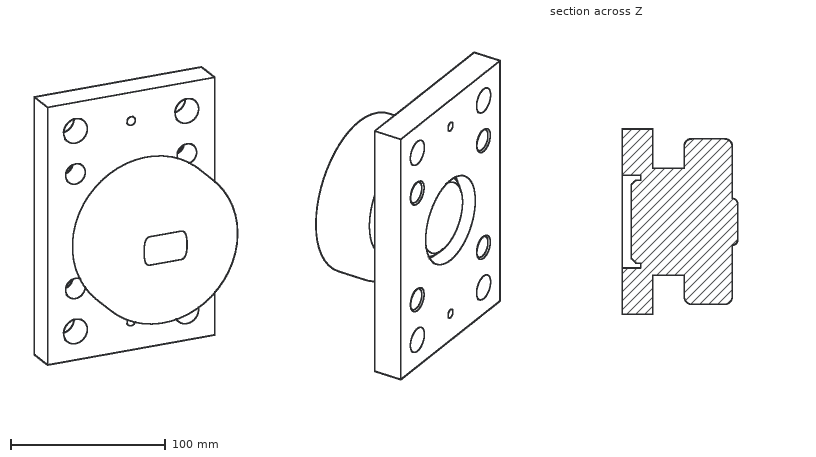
import cadquery as cq

plate_thickness = 20.0
plate_width = 120.0
plate_height = 180.0

hole_offset_y = 40.0
outer_hole_offset_z = 70.0
inner_hole_offset_z = 40.0
clearance_diameter = 17.0
threaded_diameter = 14.0
threaded_rim_diameter = 16.2
pin_hole_diameter = 6.0

recess_diameter = 60.0
recess_depth = 12.0
stub_diameter = 54.0
stub_height = 6.1
stub_chamfer = 3.0

hub_diameter = 69.5
roller_diameter = 107.5
roller_start = 40.1
roller_end = 71.5
roller_fillet = 5.0

overall_depth = 75.0
side_roller_radius = 15.5
side_roller_length = 30.6
side_roller_fillet = 4.0


def disc(start, end, diameter):
    """Cylinder about the X axis between two X positions."""
    return cq.Workplane("YZ", origin=(start, 0, 0)).circle(diameter / 2).extrude(end - start)


def through_holes(points, diameter):
    """Cutters passing through the plate at the given (Y, Z) points."""
    return cq.Workplane("YZ").pushPoints(points).circle(diameter / 2).extrude(plate_thickness)


def four_corners(offset_z):
    return [(y, z) for y in (-hole_offset_y, hole_offset_y) for z in (-offset_z, offset_z)]


plate = cq.Workplane("XY").box(plate_thickness, plate_width, plate_height, centered=(False, True, True))
plate = plate.cut(through_holes(four_corners(outer_hole_offset_z), clearance_diameter))
plate = plate.cut(through_holes([(0, -outer_hole_offset_z), (0, outer_hole_offset_z)], pin_hole_diameter))

plate = plate.cut(through_holes(four_corners(inner_hole_offset_z), threaded_diameter))
for y, z in four_corners(inner_hole_offset_z):
    countersink = cq.Solid.makeCone(
        threaded_rim_diameter / 2,
        threaded_diameter / 2,
        (threaded_rim_diameter - threaded_diameter) / 2,
        pnt=cq.Vector(0, y, z),
        dir=cq.Vector(1, 0, 0),
    )
    plate = plate.cut(cq.Workplane(countersink))

plate = plate.cut(disc(0, recess_depth, recess_diameter))
stub = disc(recess_depth - stub_height, recess_depth, stub_diameter).faces("<X").chamfer(stub_chamfer)

hub = disc(plate_thickness, roller_start, hub_diameter)
roller = disc(roller_start, roller_end, roller_diameter).edges("%CIRCLE").fillet(roller_fillet)

side_roller = (
    cq.Workplane("XZ", origin=(overall_depth - side_roller_radius, 0, 0))
    .circle(side_roller_radius)
    .extrude(side_roller_length / 2, both=True)
    .edges("%CIRCLE")
    .fillet(side_roller_fillet)
)

result = plate.union(stub).union(hub).union(roller).union(side_roller)